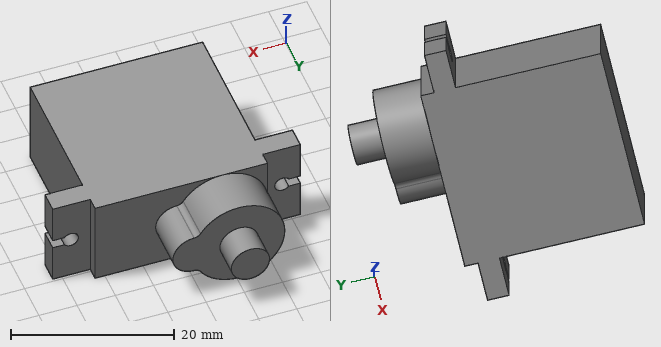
import cadquery as cq

case_width = 22.55
case_length = 22.7
height = 12.0

ear_span = 32.4
ear_rear = 18.3
ear_thickness = 2.72
screw_hole_spacing = 27.7
screw_hole_diameter = 2.03
screw_slot_width = 1.2

total_length = 32.75
housing_length = 6.05
shaft_diameter = 5.0
small_boss_diameter = 5.57
small_boss_offset = 5.85
housing_blend_radius = 1.0

mid_height = height / 2
housing_radius = height / 2
shaft_x = -case_width / 2 + housing_radius
small_boss_x = shaft_x + small_boss_offset


def block(width, y_start, length, block_height, x=0.0):
    """Box centred on x and on mid height, running along +Y from y_start."""
    center = (x, y_start + length / 2, mid_height)
    return cq.Workplane("XY").box(width, length, block_height).translate(center)


def cylinder(x, y_start, length, diameter):
    """Cylinder at mid height, running along +Y from y_start."""
    plane = cq.Plane(origin=(x, y_start, mid_height), xDir=(1, 0, 0), normal=(0, 1, 0))
    return cq.Workplane(plane).circle(diameter / 2).extrude(length)


def screw_cut(side):
    """Screw hole with a slot open to the outer end of the ear."""
    hole_x = side * screw_hole_spacing / 2
    end_x = side * ear_span / 2
    hole = cylinder(hole_x, ear_rear, ear_thickness, screw_hole_diameter)
    slot_length = abs(end_x - hole_x)
    slot_x = (hole_x + end_x) / 2
    return hole.union(block(slot_length, ear_rear, ear_thickness, screw_slot_width, slot_x))


def gear_housing():
    """Round housing with a smaller boss at its side, blended where the two meet."""
    main = cylinder(shaft_x, case_length, housing_length, 2 * housing_radius)
    boss = cylinder(small_boss_x, case_length, housing_length, small_boss_diameter)
    housing = main.union(boss)
    return housing.edges("|Y").edges(">Z or <Z").fillet(housing_blend_radius)


result = block(case_width, 0, case_length, height)
result = result.union(block(ear_span, ear_rear, ear_thickness, height))
for side in (-1, 1):
    result = result.cut(screw_cut(side))

result = result.union(gear_housing())
result = result.union(cylinder(shaft_x, case_length, total_length - case_length, shaft_diameter))